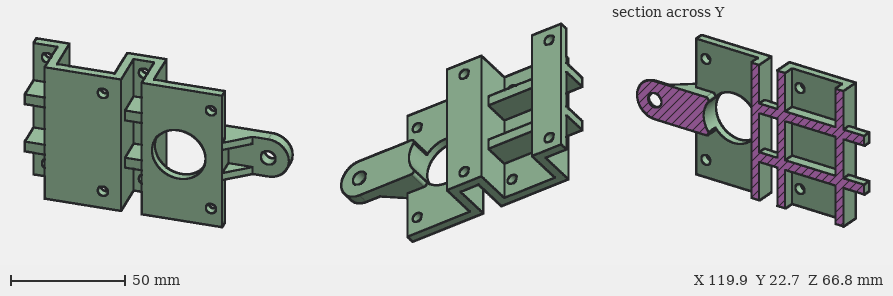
import cadquery as cq

height = 66.8
depth = 22.7
wall = 4.3
flange_bend_x = 10.9
channel_width = 26.4
slot_start_x = 45.9
slot_end_x = 55.3
plate_end_x = 92.2

rib_depth = 12.7
rib_thickness = 5.0
rib_offset_z = 12.0

back_hole_diameter = 4.8
back_hole_xs = (6.2, 50.6)
back_hole_offset_z = 27.0
front_hole_diameter = 4.7
front_hole_xs = (37.5, 87.0)
front_hole_offset_z = 24.8

opening_x = 72.3
opening_diameter = 24.5

lug_radius = 9.5
lug_end_x = 119.9
lug_start_x = 82.0
lug_front_y = 9.0
lug_back_y = 14.7
lug_corner_radius = 1.4
lug_hole_diameter = 6.7
gusset_end_x = 103.3
gusset_thickness = 3.6
lug_eye_x = lug_end_x - lug_radius

channel_start_x = flange_bend_x + wall
channel_end_x = channel_start_x + channel_width
back_plate_y = depth - wall


def box(x_range, y_range, z_range):
    """Box between the given lower and upper limits."""
    spans = [high - low for low, high in (x_range, y_range, z_range)]
    corner = (x_range[0], y_range[0], z_range[0])
    return cq.Workplane("XY").box(*spans, centered=False).translate(corner)


def hole_cutter(x, z, diameter):
    """Cylinder along Y through the full depth."""
    return cq.Workplane("XZ").center(x, z).circle(diameter / 2).extrude(-depth)


def folded_plate():
    outline = [
        (0, depth),
        (channel_start_x, depth),
        (channel_start_x, wall),
        (channel_end_x, wall),
        (channel_end_x, depth),
        (slot_end_x + wall, depth),
        (slot_end_x + wall, wall),
        (plate_end_x, wall),
        (plate_end_x, 0),
        (slot_end_x, 0),
        (slot_end_x, back_plate_y),
        (slot_start_x, back_plate_y),
        (slot_start_x, 0),
        (flange_bend_x, 0),
        (flange_bend_x, back_plate_y),
        (0, back_plate_y),
    ]
    return cq.Workplane("XY").polyline(outline).close().extrude(height / 2, both=True)


def rib_row(rib_z):
    """Ribs in front of the flange, in the channel and in the slot at one height."""
    z_range = (rib_z - rib_thickness / 2, rib_z + rib_thickness / 2)
    front_rib_y = (back_plate_y - rib_depth, back_plate_y)
    flange_rib = box((0, flange_bend_x), front_rib_y, z_range)
    slot_rib = box((slot_start_x, slot_end_x), front_rib_y, z_range)
    channel_rib = box((channel_start_x, channel_end_x), (wall, wall + rib_depth), z_range)
    return flange_rib, slot_rib, channel_rib


def hinge_lug():
    base = box((lug_start_x, plate_end_x), (wall, lug_back_y), (-lug_radius, lug_radius))
    base = base.edges("|Y and <X").fillet(lug_corner_radius)

    tongue = box((plate_end_x, lug_eye_x), (lug_front_y, lug_back_y), (-lug_radius, lug_radius))
    eye = (
        cq.Workplane("XZ", origin=(lug_eye_x, lug_front_y, 0))
        .circle(lug_radius)
        .extrude(lug_front_y - lug_back_y)
    )
    lug = base.union(tongue).union(eye)

    for bottom_z in (-lug_radius, lug_radius - gusset_thickness):
        gusset = (
            cq.Workplane("XY", origin=(0, 0, bottom_z))
            .moveTo(plate_end_x, 0)
            .lineTo(gusset_end_x, lug_front_y)
            .lineTo(plate_end_x, lug_front_y)
            .close()
            .extrude(gusset_thickness)
        )
        lug = lug.union(gusset)
    return lug


result = folded_plate().union(hinge_lug())

for side in (-1, 1):
    for rib in rib_row(side * rib_offset_z):
        result = result.union(rib)

result = result.cut(hole_cutter(opening_x, 0, opening_diameter))
result = result.cut(hole_cutter(lug_eye_x, 0, lug_hole_diameter))

for side in (-1, 1):
    for x in back_hole_xs:
        result = result.cut(hole_cutter(x, side * back_hole_offset_z, back_hole_diameter))
    for x in front_hole_xs:
        result = result.cut(hole_cutter(x, side * front_hole_offset_z, front_hole_diameter))